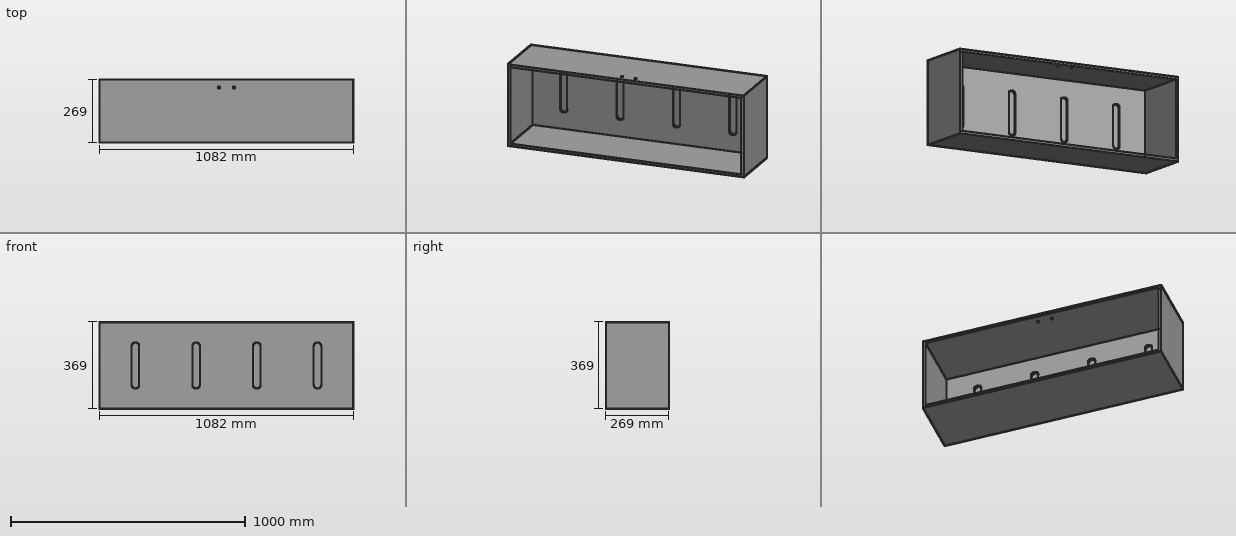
import cadquery as cq

length = 1082
depth = 269.0
height = 369.0

wall = 12.0

front_skin = 3.0
slot_count = 4
slot_pitch = 259.0
slot_length = 196.0
slot_width = 32

hole_diameter = 9.0
hole_spacing = 64.0
hole_from_back = 35.0

front_y = -depth / 2
back_y = depth / 2


def make_shell():
    """Box standing on Z = 0 with one cavity that opens at the back."""
    body = cq.Workplane("XY").box(length, depth, height, centered=(True, True, False))
    cavity = (
        cq.Workplane("XY")
        .box(length - 2 * wall, depth - wall, height - 2 * wall, centered=(True, False, False))
        .translate((0, front_y + wall, wall))
    )
    return body.cut(cavity)


def make_slots():
    """Row of slots reaching from the front skin to the cavity."""
    return (
        cq.Workplane("XZ", origin=(0, front_y + front_skin, height / 2))
        .rarray(slot_pitch, 11, slot_count, 1)
        .slot2D(slot_length, slot_width, angle=90)
        .extrude(front_skin - wall)
    )


def make_holes():
    """Two round holes through the thickness of the top wall."""
    return (
        cq.Workplane("XY", origin=(0, back_y - hole_from_back, height - wall))
        .rarray(hole_spacing, 11, 2, 1)
        .circle(hole_diameter / 2)
        .extrude(wall)
    )


result = make_shell().cut(make_slots()).cut(make_holes())